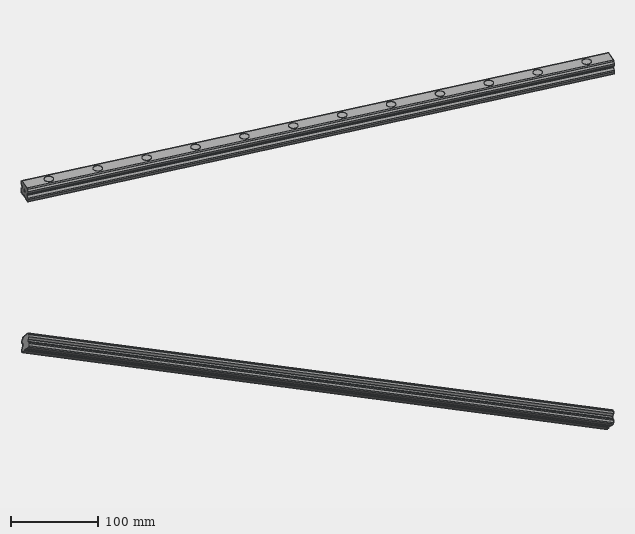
import cadquery as cq

rail_width = 23.0
rail_height = 18.0
rail_length = 720.0

half_width = rail_width / 2
top_half_width = 8.0
neck_half_width = 8.2
track_half_width = 9.3
shoulder_half_width = 10.9
relief_half_width = 3.0

base_chamfer = 1.2
base_side_top = 4.0
shoulder_height = 5.6
neck_bottom = 7.7
neck_top = 9.8
lower_track_start = 9.9
head_side_bottom = 12.2
head_side_top = 14.9
upper_track_end = 16.7
relief_depth = 0.8

track_bow = 0.4

hole_count = 12
hole_pitch = 60.0
hole_diameter = 11.0
plug_recess = 0.2

end_hole_diameter = 3.4
end_hole_height = rail_height / 2
end_hole_depth = 10.0


def make_half_profile():
    """Cross-section of the rail on the +X side of its middle plane."""
    return (
        cq.Workplane("XZ")
        .moveTo(0, relief_depth)
        .lineTo(relief_half_width, relief_depth)
        .lineTo(relief_half_width, 0)
        .lineTo(half_width - base_chamfer, 0)
        .lineTo(half_width, base_chamfer)
        .lineTo(half_width, base_side_top)
        .lineTo(shoulder_half_width, shoulder_height)
        .lineTo(neck_half_width, neck_bottom)
        .lineTo(neck_half_width, neck_top)
        .lineTo(track_half_width, lower_track_start)
        .sagittaArc((half_width, head_side_bottom), track_bow)
        .lineTo(half_width, head_side_top)
        .sagittaArc((track_half_width, upper_track_end), track_bow)
        .lineTo(top_half_width, rail_height)
        .lineTo(0, rail_height)
        .close()
    )


def make_rail():
    """Extrude the symmetric cross-section, centred on the length."""
    half_rail = make_half_profile().extrude(rail_length / 2, both=True)
    return half_rail.union(half_rail.mirror("YZ")).clean()


def make_plug_recesses():
    """Row of shallow round recesses left above the mounting-hole plugs."""
    return (
        cq.Workplane("XY", origin=(0, 0, rail_height))
        .rarray(1, hole_pitch, 1, hole_count)
        .circle(hole_diameter / 2)
        .extrude(-plug_recess)
    )


def make_end_hole():
    """Small blind hole in the middle of the front end face."""
    return (
        cq.Workplane("XZ", origin=(0, -rail_length / 2, end_hole_height))
        .circle(end_hole_diameter / 2)
        .extrude(-end_hole_depth)
    )


result = make_rail().cut(make_plug_recesses()).cut(make_end_hole())